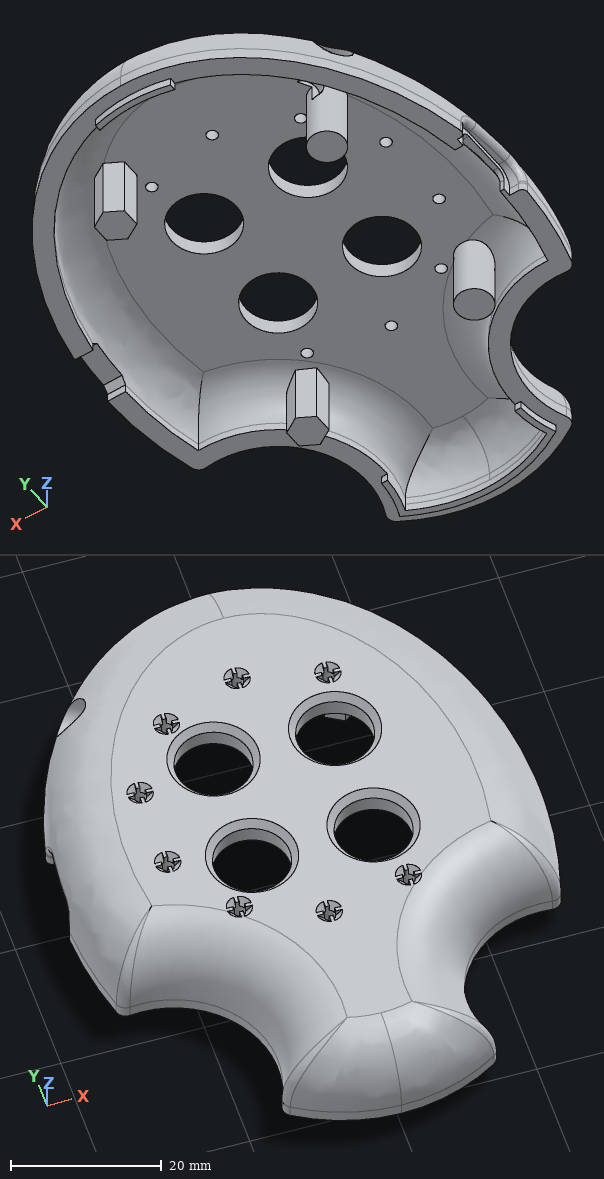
import cadquery as cq
import math

length = 87.3
width = 66.7
height = 10.8
dome_radius = 9.0
wall = 3.0
ceiling = 3.5
cutout_radius = 14.4
cutout_x = 27.8
cutout_y = -31.4
seam_radius = 1.5

board_x = 0.1
board_y = 4.1
button_pitch = 16.9
button_diameter = 10.5
button_chamfer = 1.0

light_points = [
    (-1.3, 24.5), (10.5, 21.8), (-12.6, 20.1), (-19.4, 10.1),
    (-19.4, -2.0), (-12.6, -12.05), (10.5, -13.7), (-1.4, -16.3),
]
light_cone_diameter = 3.5
light_bore_diameter = 1.7
light_cone_depth = 1.0
bar_width = 0.5

post_drop = 2.7
round_post_diameter = 5.5
round_post_x = -17.5
round_post_offset_y = 16.85
hex_post_corners = 5.7
hex_post_x = 13.4
hex_post_offset_y = 22.0

lip_drop = 1.3
lip_inset = 2.0
front_lip_end_y = -32.0
rear_lip_width = 12.2

port_floor_x = -31.0
port_width = 12.0
port_height = 3.9
port_corner = 2.5
port_round = 0.9
slot_width = 9.3
slot_height = 3.1
slot_corner = 1.3
cross_slot_width = 8.4
cross_slot_height = 2.4
cross_slot_chamfer = 1.0

jack_x = -22.4
jack_y = 27.6
jack_z = 6.4
jack_angle = 150.0
jack_recess_diameter = 5.5
jack_recess_depth = 1.5
jack_recess_reach = 3.5
jack_bore_diameter = 3.5
jack_bore_depth = 5.2


def half_dome(inset, top):
    """The +X half of a dome that lies `inset` inside the outer side and ends at z = `top`."""
    round_radius = dome_radius - inset
    half_space = cq.Workplane("XY").box(width, 2 * length, 2 * height).translate((width / 2, 0, 0))
    body = (
        cq.Workplane("XY")
        .ellipse(width / 2 - inset, length / 2 - inset)
        .extrude(top)
        .faces(">Z").edges().fillet(round_radius)
        .intersect(half_space)
    )
    radius = cutout_radius + inset
    flared_cutter = (
        cq.Workplane("XZ")
        .lineTo(radius, 0)
        .lineTo(radius, top - round_radius)
        .radiusArc((radius + round_radius, top), round_radius)
        .lineTo(0, top)
        .close()
        .revolve(360, (0, 0), (0, 1))
        .translate((cutout_x, cutout_y, 0))
    )
    return body.cut(flared_cutter)


def both_halves(half):
    return half.union(half.mirror("YZ"))


def is_seam(edge):
    """True for the rising edges off the mid-plane, where the cutout meets the ellipse."""
    box = edge.BoundingBox()
    return box.xmax > 3.5 and box.zlen > seam_radius


def rim_outline(inset):
    """Slab below the rim with the shell's plan outline moved in by `inset`."""
    base = cq.Workplane("XY").workplane(offset=-lip_drop)
    slab = base.ellipse(width / 2 - inset, length / 2 - inset).extrude(lip_drop)
    cutters = (
        cq.Workplane("XY").workplane(offset=-lip_drop)
        .pushPoints([(cutout_x, cutout_y), (-cutout_x, cutout_y)])
        .circle(cutout_radius + inset)
        .extrude(lip_drop)
    )
    return slab.cut(cutters)


def lip():
    """Lip on the inner part of the wall: one stretch round the palm end, one at the far end."""
    ring = rim_outline(lip_inset).cut(rim_outline(wall))
    palm_zone = cq.Workplane("XY").box(width, length, length).translate((0, front_lip_end_y - length / 2, 0))
    rear_zone = cq.Workplane("XY").box(rear_lip_width, length, length).translate((0, length / 2, 0))
    return ring.intersect(palm_zone.union(rear_zone))


def posts():
    base = cq.Workplane("XY").workplane(offset=-post_drop)
    rise = post_drop + height - ceiling
    solids = cq.Workplane("XY")
    for side in (-1, 1):
        round_center = (round_post_x, board_y + side * round_post_offset_y)
        hex_center = (hex_post_x, board_y + side * hex_post_offset_y)
        solids = solids.add(base.center(*round_center).circle(round_post_diameter / 2).extrude(rise))
        solids = solids.add(
            base.center(*hex_center).transformed(rotate=(0, 0, 90)).polygon(6, hex_post_corners).extrude(rise)
        )
    return solids.combine()


def button_holes():
    mouth_radius = button_diameter / 2 + button_chamfer
    hole = (
        cq.Workplane("XZ")
        .lineTo(button_diameter / 2, 0)
        .lineTo(button_diameter / 2, height - button_chamfer)
        .lineTo(mouth_radius, height)
        .lineTo(0, height)
        .close()
        .revolve(360, (0, 0), (0, 1))
    )
    centers = cq.Workplane("XY").center(board_x, board_y).rarray(button_pitch, button_pitch, 2, 2)
    return centers.eachpoint(lambda place: hole.val().moved(place), combine=False)


def light_holes():
    bore_radius = light_bore_diameter / 2
    cone = (
        cq.Workplane("XZ")
        .moveTo(0, height - light_cone_depth)
        .lineTo(bore_radius, height - light_cone_depth)
        .lineTo(light_cone_diameter / 2, height)
        .lineTo(0, height)
        .close()
        .revolve(360, (0, 0), (0, 1))
    )
    bars = (
        cq.Workplane("XY")
        .rect(light_cone_diameter, bar_width)
        .extrude(height)
        .union(cq.Workplane("XY").rect(bar_width, light_cone_diameter).extrude(height))
    )
    bore = cq.Workplane("XY").circle(bore_radius).extrude(height)
    hole = cone.cut(bars).union(bore)
    return cq.Workplane("XY").pushPoints(light_points).eachpoint(
        lambda place: hole.val().moved(place), combine=False
    )


def side_opening(open_width, open_height, x_start, x_end):
    """Opening cut up from the rim, running along X, level with the board centre."""
    return (
        cq.Workplane("XY")
        .box(x_end - x_start, open_width, 2 * open_height)
        .translate(((x_start + x_end) / 2, board_y, 0))
    )


def port_recess():
    return side_opening(port_width, port_height, -width, port_floor_x).edges("|X").fillet(port_corner)


def is_port_mouth(edge):
    """True for the edges where the port recess breaks out through the outer side."""
    box = edge.BoundingBox()
    near_port = abs(box.center.y - board_y) < port_width / 2 + 0.35
    return near_port and box.xmax < port_floor_x and box.zmin > -0.9 and box.zmax < port_height + 0.9


def cable_slots():
    slot = side_opening(slot_width, slot_height, -width, -width / 4).edges("|X").fillet(slot_corner)
    cross_slot = side_opening(cross_slot_width, cross_slot_height, -width, width)
    return slot.union(cross_slot.edges("|X").chamfer(cross_slot_chamfer))


def jack_hole():
    angle = math.radians(jack_angle)
    outward = cq.Vector(math.cos(angle), math.sin(angle), 0)
    mouth = cq.Vector(jack_x, jack_y, jack_z)
    floor = mouth - outward * jack_recess_depth
    recess_length = jack_recess_depth + jack_recess_reach
    recess = cq.Solid.makeCylinder(jack_recess_diameter / 2, recess_length, floor, outward)
    bore = cq.Solid.makeCylinder(jack_bore_diameter / 2, jack_bore_depth, floor, outward * -1)
    return cq.Workplane(obj=recess.fuse(bore))


outer = both_halves(half_dome(0, height).edges().filter(is_seam).fillet(seam_radius))
cavity = both_halves(half_dome(wall, height - ceiling))
shell = outer.cut(port_recess()).edges().filter(is_port_mouth).fillet(port_round).cut(cavity)
shell = shell.union(posts()).union(lip())
result = shell.cut(button_holes()).cut(light_holes()).cut(cable_slots()).cut(jack_hole())